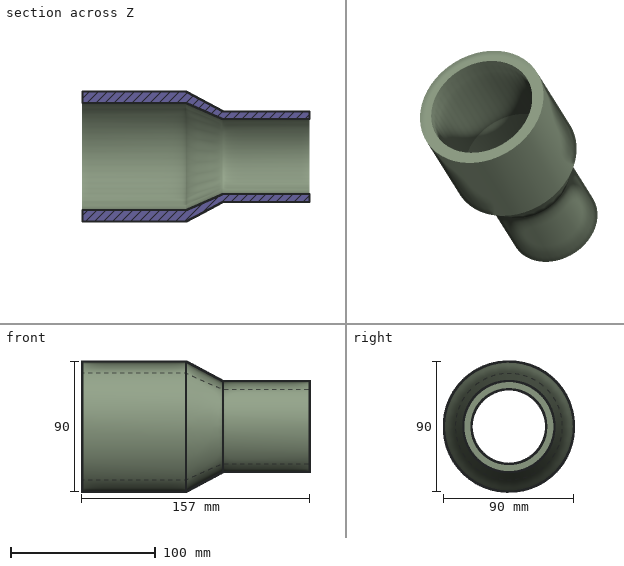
import cadquery as cq

total_length = 157.0
wide_length = 71.7
narrow_length = 60.0

wide_outer_diameter = 90.0
wide_bore_diameter = 73.6
narrow_outer_diameter = 63.0
narrow_bore_diameter = 51.3

taper_end = total_length - narrow_length


def stepped_body(wide_diameter, narrow_diameter):
    """Solid of a wide cylinder, a conical taper and a narrow cylinder."""
    wide_radius = wide_diameter / 2
    narrow_radius = narrow_diameter / 2
    half_profile = (
        cq.Workplane("XY")
        .moveTo(0, 0)
        .lineTo(0, wide_radius)
        .lineTo(wide_length, wide_radius)
        .lineTo(taper_end, narrow_radius)
        .lineTo(total_length, narrow_radius)
        .lineTo(total_length, 0)
        .close()
    )
    return half_profile.revolve(360, (0, 0, 0), (1, 0, 0))


outer_body = stepped_body(wide_outer_diameter, narrow_outer_diameter)

bore = stepped_body(wide_bore_diameter, narrow_bore_diameter)

result = outer_body.cut(bore)